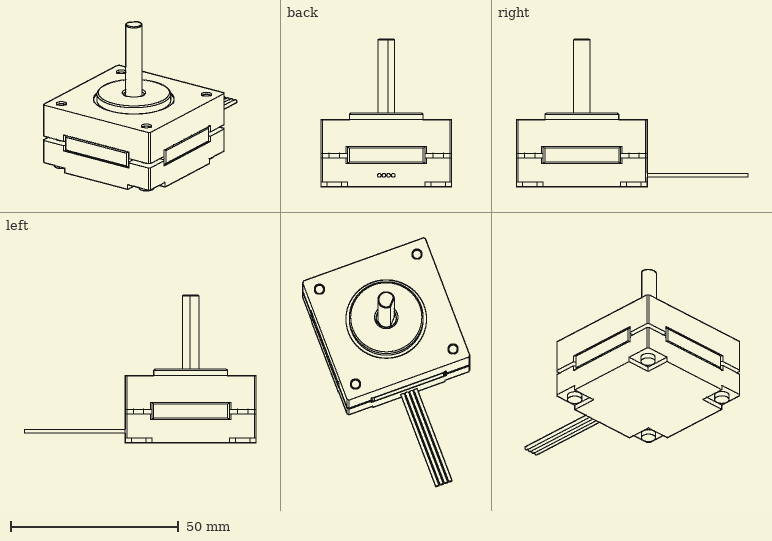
import cadquery as cq

BODY_SIDE = 39.0
BODY_HEIGHT = 20.0
BODY_CORNER_CHAMFER = 0.5

LOWER_CAP_TOP = 8.6
CAP_GAP = 1.4
UPPER_CAP_BOTTOM = LOWER_CAP_TOP + CAP_GAP
UPPER_CAP_HEIGHT = BODY_HEIGHT - UPPER_CAP_BOTTOM

STATOR_HEIGHT = 5.05
STATOR_BOTTOM = 7.0
STATOR_ARM_WIDTH = 23.0
STATOR_END_CHAMFER = 0.5

BOSS_DIAMETER = 22.0
BOSS_HEIGHT = 2.0
BOSS_CHAMFER = 0.4
BOSS_TOP = BODY_HEIGHT + BOSS_HEIGHT
GROOVE_DIAMETER = 24.0
GROOVE_DEPTH = 0.5

SHAFT_RECESS_DIAMETER = 6.0
SHAFT_RECESS_DEPTH = 2.0
SHAFT_RECESS_CHAMFER = 0.5

SHAFT_DIAMETER = 5.0
SHAFT_TOP = 44.0
SHAFT_FLAT_OFFSET = 2.0
SHAFT_TIP_CHAMFER = 0.3
SHAFT_FLAT_ANGLE = 138
SHAFT_LENGTH = SHAFT_TOP - STATOR_BOTTOM

SCREW_SPACING = 31.0
SCREW_DIAMETER = 3.05
SCREW_TIP_CHAMFER = 0.3
SCREW_TIP_DEPTH = 0.5
SCREW_LENGTH = BODY_HEIGHT - SCREW_TIP_DEPTH
SCREW_HEAD_DIAMETER = 4.3
NOTCH_HEIGHT = 1.5
NOTCH_SIDE = (BODY_SIDE - STATOR_ARM_WIDTH) / 2

WIRE_COUNT = 4
WIRE_DIAMETER = 1.1
WIRE_PITCH = 1.4
WIRE_AXIS_HEIGHT = 3.45
OVERALL_LENGTH = 69.0
WIRE_LENGTH = OVERALL_LENGTH - BODY_SIDE


def cylinder(diameter, bottom, height):
    """Vertical cylinder on the motor axis."""
    return cq.Workplane("XY").workplane(offset=bottom).circle(diameter / 2).extrude(height)


def body_block(bottom, height):
    """Square block of the motor outline with chamfered corners."""
    block = cq.Workplane("XY").workplane(offset=bottom).rect(BODY_SIDE, BODY_SIDE).extrude(height)
    return block.edges("|Z").chamfer(BODY_CORNER_CHAMFER)


def at_corners(spacing, bottom):
    """Workplane holding the four corner points of a centred square."""
    return cq.Workplane("XY").workplane(offset=bottom).rect(spacing, spacing, forConstruction=True).vertices()


def stator_pocket():
    """Space for the stator, its four mouths flared sideways at the side faces."""
    half_side = BODY_SIDE / 2
    half_width = STATOR_ARM_WIDTH / 2
    mouth = half_width + STATOR_END_CHAMFER
    throat = half_side - STATOR_END_CHAMFER
    bar = (
        cq.Workplane("XY")
        .workplane(offset=STATOR_BOTTOM)
        .moveTo(half_side, mouth)
        .lineTo(throat, half_width)
        .lineTo(-throat, half_width)
        .lineTo(-half_side, mouth)
        .lineTo(-half_side, -mouth)
        .lineTo(-throat, -half_width)
        .lineTo(throat, -half_width)
        .lineTo(half_side, -mouth)
        .close()
        .extrude(STATOR_HEIGHT)
    )
    return bar.union(bar.rotate((0, 0, 0), (0, 0, 1), 90))


def make_shaft():
    shaft = cylinder(SHAFT_DIAMETER, STATOR_BOTTOM, SHAFT_LENGTH)
    beyond_flat = (
        cq.Workplane("XY")
        .workplane(offset=STATOR_BOTTOM)
        .center(SHAFT_FLAT_OFFSET + SHAFT_DIAMETER / 2, 0)
        .rect(SHAFT_DIAMETER, SHAFT_DIAMETER)
        .extrude(SHAFT_LENGTH)
    )
    shaft = shaft.cut(beyond_flat).faces(">Z").edges().chamfer(SHAFT_TIP_CHAMFER)
    return shaft.rotate((0, 0, 0), (0, 0, 1), SHAFT_FLAT_ANGLE)


def make_screw(x, y):
    head = cq.Workplane("XY").circle(SCREW_HEAD_DIAMETER / 2).extrude(NOTCH_HEIGHT)
    shank = cq.Workplane("XY").circle(SCREW_DIAMETER / 2).extrude(SCREW_LENGTH)
    shank = shank.faces(">Z").edges().chamfer(SCREW_TIP_CHAMFER)
    return head.union(shank).translate((x, y, 0))


def make_stator(shaft):
    bar = (
        cq.Workplane("XY")
        .workplane(offset=STATOR_BOTTOM)
        .rect(BODY_SIDE, STATOR_ARM_WIDTH)
        .extrude(STATOR_HEIGHT)
        .faces("<X or >X")
        .edges()
        .chamfer(STATOR_END_CHAMFER)
    )
    cross = bar.union(bar.rotate((0, 0, 0), (0, 0, 1), 90))
    return cross.cut(shaft)


def make_lower_cap():
    cap = body_block(0, LOWER_CAP_TOP).cut(stator_pocket())

    notch_spacing = BODY_SIDE - NOTCH_SIDE
    cap = cap.cut(at_corners(notch_spacing, 0).rect(NOTCH_SIDE, NOTCH_SIDE).extrude(NOTCH_HEIGHT))

    cap = cap.cut(at_corners(SCREW_SPACING, 0).circle(SCREW_DIAMETER / 2).extrude(LOWER_CAP_TOP))

    wires = (
        cq.Workplane("XZ", origin=(0, BODY_SIDE / 2, WIRE_AXIS_HEIGHT))
        .rarray(WIRE_PITCH, 0.7, WIRE_COUNT, 1)
        .circle(WIRE_DIAMETER / 2)
        .extrude(-WIRE_LENGTH)
    )
    return cap.union(wires)


def make_upper_cap(shaft):
    cap = body_block(UPPER_CAP_BOTTOM, UPPER_CAP_HEIGHT).cut(stator_pocket())

    groove_floor = BODY_HEIGHT - GROOVE_DEPTH
    cap = cap.cut(cylinder(GROOVE_DIAMETER, groove_floor, GROOVE_DEPTH))
    boss = cylinder(BOSS_DIAMETER, groove_floor, GROOVE_DEPTH + BOSS_HEIGHT)
    cap = cap.union(boss.faces(">Z").edges().chamfer(BOSS_CHAMFER))

    recess = cylinder(SHAFT_RECESS_DIAMETER, BOSS_TOP - SHAFT_RECESS_DEPTH, SHAFT_RECESS_DEPTH)
    countersink = (
        cq.Workplane("XY")
        .workplane(offset=BOSS_TOP)
        .circle(SHAFT_RECESS_DIAMETER / 2 + SHAFT_RECESS_CHAMFER)
        .extrude(-SHAFT_RECESS_CHAMFER, taper=45)
    )
    cap = cap.cut(recess).cut(countersink).cut(shaft)

    holes = at_corners(SCREW_SPACING, UPPER_CAP_BOTTOM).circle(SCREW_DIAMETER / 2).extrude(UPPER_CAP_HEIGHT)
    return cap.cut(holes)


shaft = make_shaft()
stator = make_stator(shaft)
lower_cap = make_lower_cap()
upper_cap = make_upper_cap(shaft)

screws = []
for x in (-SCREW_SPACING / 2, SCREW_SPACING / 2):
    for y in (-SCREW_SPACING / 2, SCREW_SPACING / 2):
        screws.append(make_screw(x, y).val())

result = cq.Compound.makeCompound(
    [lower_cap.val(), stator.val(), upper_cap.val(), shaft.val(), *screws]
)